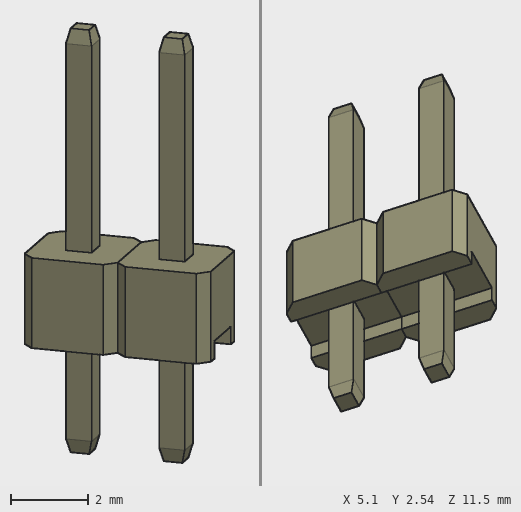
import cadquery as cq


overall_height = 11.5
position_count = 2
overall_length = 5.1
block_depth = 2.54
block_height = 2.45
corner_cut = 0.3

channel_width = 1.35
channel_height = 0.48

pin_width = 0.7
pin_tip_width = 0.51
tip_height = 0.39
pin_drop = 3.05

pitch = overall_length / position_count
pin_shaft_length = overall_height - 2 * tip_height
pin_shaft_bottom = tip_height - pin_drop
pin_shaft_top = pin_shaft_bottom + pin_shaft_length


def make_block():
    """Insulator block with four cut corners and a channel along its underside."""
    half_x = pitch / 2
    half_y = block_depth / 2
    flat_x = half_x - corner_cut
    flat_y = half_y - corner_cut
    outline = [
        (-flat_x, -half_y),
        (flat_x, -half_y),
        (half_x, -flat_y),
        (half_x, flat_y),
        (flat_x, half_y),
        (-flat_x, half_y),
        (-half_x, flat_y),
        (-half_x, -flat_y),
    ]
    block = cq.Workplane("XY").polyline(outline).close().extrude(block_height)
    channel = cq.Workplane("XY").rect(pitch, channel_width).extrude(channel_height)
    return block.cut(channel)


def make_tip(base_z, direction):
    """Tapered pin end that starts at base_z and points up (+1) or down (-1)."""
    return (
        cq.Workplane("XY", origin=(0, 0, base_z))
        .rect(pin_width, pin_width)
        .workplane(offset=direction * tip_height)
        .rect(pin_tip_width, pin_tip_width)
        .loft(ruled=True)
    )


def make_pin():
    """Square pin with a tapered tip at each end."""
    shaft = (
        cq.Workplane("XY", origin=(0, 0, pin_shaft_bottom))
        .rect(pin_width, pin_width)
        .extrude(pin_shaft_length)
    )
    top_tip = make_tip(pin_shaft_top, 1)
    bottom_tip = make_tip(pin_shaft_bottom, -1)
    return shaft.union(top_tip).union(bottom_tip)


def make_header_position(center_x):
    """One header position: a block and its pin as a single solid."""
    return make_block().union(make_pin()).translate((center_x, 0, 0))


header_positions = []
for index in range(position_count):
    center_x = (index - (position_count - 1) / 2) * pitch
    header_positions.extend(make_header_position(center_x).solids().vals())

result = cq.Compound.makeCompound([*header_positions])